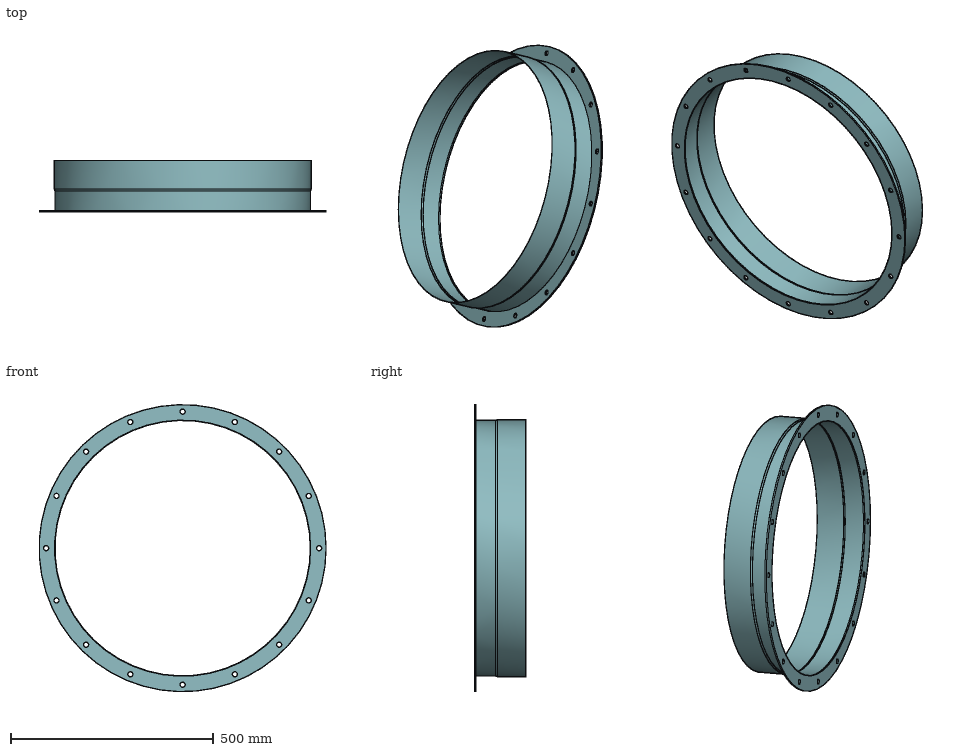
import cadquery as cq

flange_diameter = 709.0
total_length = 127.0

inner_diameter = 630.0
sheet_thickness = 1.0
rear_diameter = 635.2
ridge_diameter = 635.6
neck_length = 52.0
ridge_position = 56.6
rear_start = 57.3

flange_bore = 632.5
flange_thickness = 4.0
bolt_circle_diameter = 674.0
bolt_hole_diameter = 12.0
bolt_count = 16

neck_radius = inner_diameter / 2 + sheet_thickness
ridge_radius = ridge_diameter / 2
rear_radius = rear_diameter / 2


def make_collar():
    """Revolve the sheet section: neck, tapered step up to a low ridge, rear tube."""
    outer_profile = [
        (neck_radius, 0),
        (neck_radius, neck_length),
        (ridge_radius, ridge_position),
        (rear_radius, rear_start),
        (rear_radius, total_length),
    ]
    inner_profile = [(radius - sheet_thickness, y) for radius, y in reversed(outer_profile)]
    section = cq.Workplane("XY").polyline(outer_profile + inner_profile).close()
    return section.revolve(360, (0, 0, 0), (0, 1, 0))


def make_flange():
    """Flat ring around the front end of the neck, with a circle of bolt holes."""
    front_plane = cq.Workplane("XZ")
    ring = (
        front_plane
        .circle(flange_diameter / 2)
        .circle(flange_bore / 2)
        .extrude(-flange_thickness)
    )
    bolt_holes = (
        front_plane
        .polarArray(bolt_circle_diameter / 2, 0, 360, bolt_count)
        .circle(bolt_hole_diameter / 2)
        .extrude(-flange_thickness)
    )
    return ring.cut(bolt_holes)


collar = make_collar()
flange = make_flange()

result = cq.Compound.makeCompound([collar.val(), flange.val()])